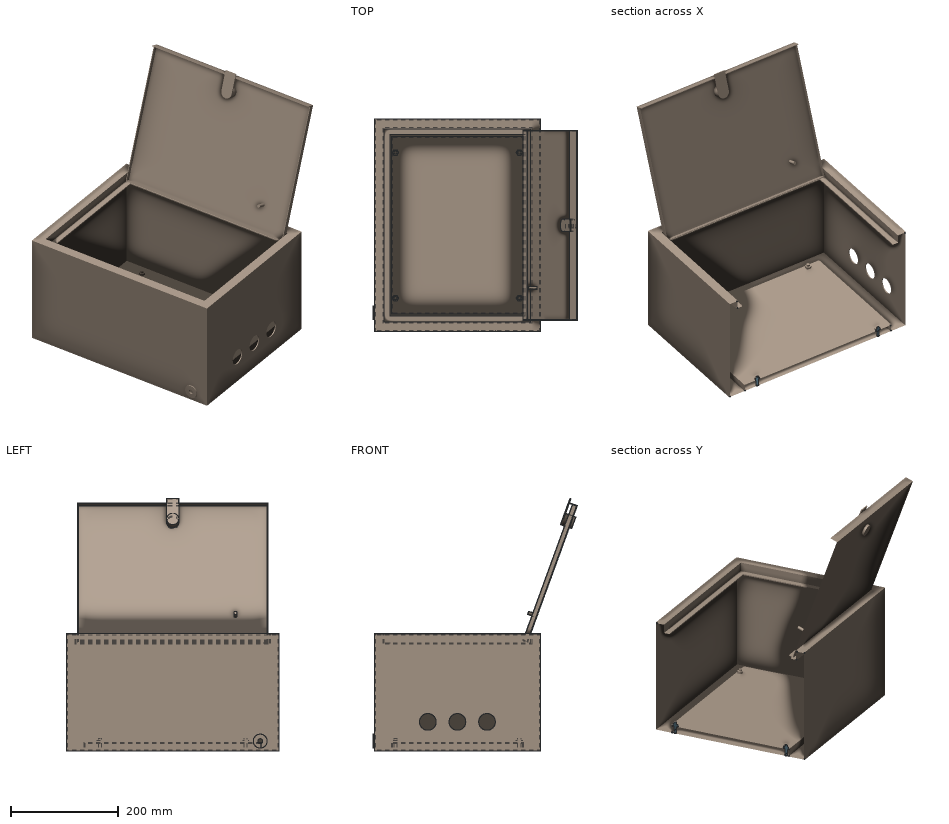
import cadquery as cq
import math

WALL = 2.0
DOOR_SHEET = 1.2

OVERALL_HEIGHT = 469.0

BOX_X = 308.5
BOX_Y = 395.0
BOX_Z = 218.0
RIM_WIDTH = 18.5
RIM_DROP = 17.0
LEDGE_WIDTH = 11.0

HOLE_DIAMETER = 31.0
HOLE_PITCH = 55.0
HOLE_Z = 54.5

BOSS_DIAMETER = 26.0
BOSS_BORE = 9.0
BOSS_HEIGHT = 2.0
BOSS_FROM_FRONT = 35.0
BOSS_Z = 18.8

PLATE_X = 245.0
PLATE_Y = 329.5
PLATE_HEIGHT = 14.0

SCREW_PITCH_X = 230.0
SCREW_PITCH_Y = 270.0
SCREW_HEAD_WIDTH = 11.5
SCREW_HEAD_HEIGHT = 4.0
SCREW_TIP = 3.8
SCREW_SHANK = 6.0

DOOR_TILT = 20
DOOR_BELOW_RIM = 17.0
DOOR_ABOVE_RIM = 253.0
DOOR_Y = 352.5
DOOR_DEPTH = 9.5
LIP_DEPTH = 15.5

STUD_DIAMETER = 6.0
STUD_LENGTH = 16.5
STUD_ABOVE_RIM = 34.5
STUD_Y = -116.5

LOCK_ABOVE_RIM = 220.5
LOCK_DIAMETER = 23.0
LOCK_KNOB_HEIGHT = 4.5
LATCH_THICKNESS = 2.0

OPENING_X = BOX_X - 2 * RIM_WIDTH
OPENING_Y = BOX_Y - 2 * RIM_WIDTH
BOX_CENTRE_X = BOX_X / 2
BOSS_Y = BOSS_FROM_FRONT - BOX_Y / 2
FLOOR_Z = WALL
PLATE_TOP = FLOOR_Z + PLATE_HEIGHT
DOOR_TILT_RAD = math.radians(DOOR_TILT)
LATCH_FACE = LIP_DEPTH + LATCH_THICKNESS
LATCH_END = (OVERALL_HEIGHT - BOX_Z - LATCH_FACE * math.sin(DOOR_TILT_RAD)) / math.cos(DOOR_TILT_RAD)
LATCH_REACH = LATCH_END - LOCK_ABOVE_RIM
SCREW_PLACES = [
    (BOX_CENTRE_X + sx * SCREW_PITCH_X / 2, sy * SCREW_PITCH_Y / 2)
    for sx in (-1, 1)
    for sy in (-1, 1)
]


def block(size_x, size_y, z_low, z_high):
    """Upright block centred on the box axis, between two heights."""
    return (
        cq.Workplane("XY", origin=(BOX_CENTRE_X, 0, z_low))
        .rect(size_x, size_y)
        .extrude(z_high - z_low)
    )


def make_box():
    inside_x = BOX_X - 2 * WALL
    inside_y = BOX_Y - 2 * WALL
    ledge_top = BOX_Z - RIM_DROP
    ledge_low = ledge_top - WALL
    box = block(BOX_X, BOX_Y, 0, BOX_Z).cut(block(inside_x, inside_y, FLOOR_Z, BOX_Z - WALL))

    frame = block(OPENING_X + 2 * WALL, OPENING_Y + 2 * WALL, ledge_low, BOX_Z)
    box = box.union(frame).cut(block(OPENING_X, OPENING_Y, ledge_top, BOX_Z))
    box = box.cut(
        block(OPENING_X - 2 * LEDGE_WIDTH, OPENING_Y - 2 * LEDGE_WIDTH, ledge_low, ledge_top)
    )

    entries = (
        cq.Workplane("XZ", origin=(BOX_CENTRE_X, -BOX_Y / 2 + WALL, HOLE_Z))
        .rarray(HOLE_PITCH, 4.5, 3, 1)
        .circle(HOLE_DIAMETER / 2)
        .extrude(WALL)
    )

    left_wall = cq.Workplane("YZ", origin=(0, BOSS_Y, BOSS_Z))
    boss = left_wall.circle(BOSS_DIAMETER / 2).extrude(-BOSS_HEIGHT)
    bore = (
        left_wall.workplane(offset=-BOSS_HEIGHT)
        .circle(BOSS_BORE / 2)
        .extrude(BOSS_HEIGHT + WALL)
    )
    return box.cut(entries).union(boss).cut(bore)


def make_plate():
    plate = block(PLATE_X, PLATE_Y, FLOOR_Z, PLATE_TOP)
    hollow = block(PLATE_X - 2 * WALL, PLATE_Y - 2 * WALL, FLOOR_Z, PLATE_TOP - WALL)
    screw_holes = (
        cq.Workplane("XY", origin=(0, 0, FLOOR_Z))
        .pushPoints(SCREW_PLACES)
        .circle(SCREW_SHANK / 2)
        .extrude(PLATE_HEIGHT)
    )
    return plate.cut(hollow).cut(screw_holes)


def make_screw(x, y):
    """Hexagon nut on the plate, with a shank from the box floor to above the nut."""
    shank = (
        cq.Workplane("XY", origin=(x, y, FLOOR_Z))
        .circle(SCREW_SHANK / 2)
        .extrude(PLATE_HEIGHT + SCREW_HEAD_HEIGHT + SCREW_TIP)
    )
    head = (
        cq.Workplane("XY", origin=(x, y, PLATE_TOP))
        .polygon(6, SCREW_HEAD_WIDTH)
        .extrude(SCREW_HEAD_HEIGHT)
    )
    return shank.union(head)


def place_on_hinge(part):
    return part.rotate((0, 0, 0), (0, 1, 0), DOOR_TILT).translate((BOX_X - RIM_WIDTH, 0, BOX_Z))


def door_block(depth, width, z_low, z_high):
    """Block reaching inwards from the outer face of the upright door."""
    return (
        cq.Workplane("XY", origin=(-depth / 2, 0, z_low))
        .rect(depth, width)
        .extrude(z_high - z_low)
    )


def across_door(depth, y, z):
    """Workplane parallel to the upright door, a given depth inside its outer face."""
    return cq.Workplane("YZ", origin=(-depth, y, z))


def make_door():
    z_low = -DOOR_BELOW_RIM
    z_high = DOOR_ABOVE_RIM
    tray = door_block(DOOR_DEPTH, DOOR_Y, z_low, z_high)
    hollow = door_block(DOOR_DEPTH, DOOR_Y - 2 * DOOR_SHEET, z_low + DOOR_SHEET, z_high - DOOR_SHEET)
    tray = tray.cut(hollow.translate((-DOOR_SHEET, 0, 0)))
    lip = door_block(LIP_DEPTH, DOOR_Y, z_high - DOOR_SHEET, z_high)
    stud = across_door(DOOR_SHEET, STUD_Y, STUD_ABOVE_RIM).circle(STUD_DIAMETER / 2).extrude(-STUD_LENGTH)
    lock_hole = across_door(DOOR_SHEET, 0, LOCK_ABOVE_RIM).circle(LOCK_DIAMETER / 2).extrude(DOOR_SHEET)
    return place_on_hinge(tray.union(lip).union(stud).cut(lock_hole))


def make_lock():
    radius = LOCK_DIAMETER / 2
    barrel = (
        across_door(LIP_DEPTH, 0, LOCK_ABOVE_RIM)
        .circle(radius)
        .extrude(LIP_DEPTH + LOCK_KNOB_HEIGHT)
    )
    arm = (
        across_door(LIP_DEPTH, 0, LOCK_ABOVE_RIM)
        .moveTo(radius, 0)
        .lineTo(radius, LATCH_REACH)
        .lineTo(-radius, LATCH_REACH)
        .lineTo(-radius, 0)
        .threePointArc((0, -radius), (radius, 0))
        .close()
        .extrude(-LATCH_THICKNESS)
    )
    return place_on_hinge(barrel.union(arm))


box = make_box()
plate = make_plate()
screws = [make_screw(x, y) for x, y in SCREW_PLACES]
door = make_door()
lock = make_lock()

result = cq.Compound.makeCompound(
    [box.val(), plate.val(), *[screw.val() for screw in screws], door.val(), lock.val()]
)